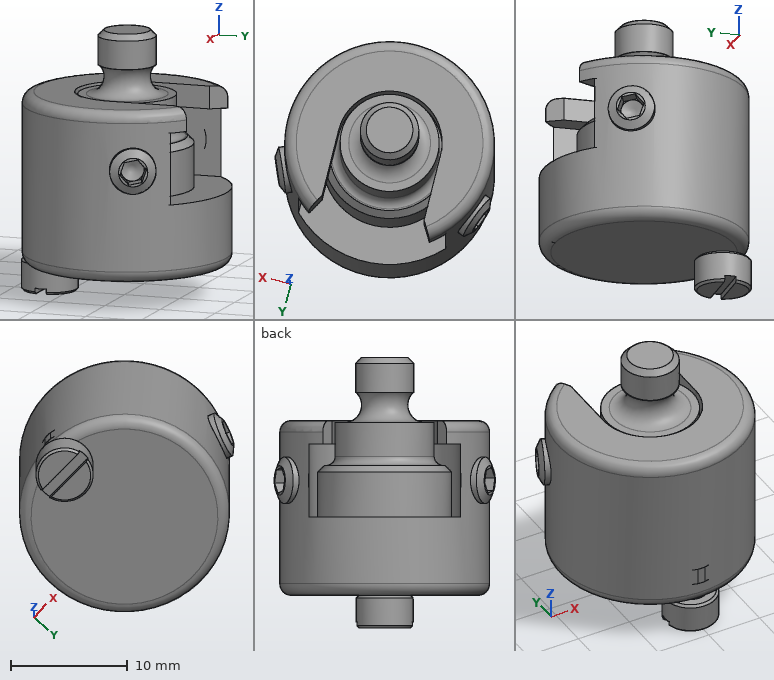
import cadquery as cq
import math

body_diameter = 18.0
body_radius = body_diameter / 2
body_height = 14.99
edge_round = 1.0

chamber_width = 13
chamber_floor = 6.7
lip_thickness = 2.0
lip_underside = body_height - lip_thickness
neck_slot_width = 9.0
flare_start_y = 5.87
flare_angle = 30

stud_top = 20.4
head_diameter = 5.0
head_height = 3.02
head_chamfer = 0.5
waist_diameter = 4.0
waist_fillet = 1.5
collar_diameter = 8.5
collar_top = 14.8
flange_diameter = 11.5
flange_top = 11.14
flange_chamfer = 0.58
collar_fillet = 0.8

set_screw_diameter = 4.0
set_screw_angle = 22.5
set_screw_z = 9.85
set_screw_inner_end = 7.89
set_screw_rim = 9.33
set_screw_tip = 9.75
tip_diameter = 2.5
hex_sides = 6
hex_across_corners = 2.32
hex_depth = 1.28
hex_point_depth = 0.45
hex_turn = 11

lock_y = -7.03
lock_head_diameter = 4.9
lock_head_height = 2.8
lock_head_chamfer = 0.2
driver_slot_width = 1.0
driver_slot_depth = 0.5
lock_shank_diameter = 3.0
lock_hole_diameter = 3.25
lock_collar_diameter = 4.0
lock_collar_bottom = 1.97
lock_collar_top = 3.5


def cylinder(diameter, bottom, top, y=0):
    """Upright cylinder between two heights, with its axis at x = 0."""
    return cq.Workplane("XY", origin=(0, y, bottom)).circle(diameter / 2).extrude(top - bottom)


def round_ended_slot(width, bottom, top):
    """Slot with a half-round end about the Z axis, running out toward +Y."""
    straight = cq.Workplane("XY", origin=(0, 0, bottom)).rect(width, body_diameter)
    straight = straight.extrude(top - bottom).translate((0, body_radius, 0))
    return cylinder(width, bottom, top).union(straight)


def flared_mouth():
    """Widening wedge at the open end of the neck slot."""
    half_width = neck_slot_width / 2
    spread = (body_radius - flare_start_y) * math.tan(math.radians(flare_angle))
    return (
        cq.Workplane("XY", origin=(0, 0, lip_underside))
        .moveTo(-half_width, flare_start_y)
        .lineTo(half_width, flare_start_y)
        .lineTo(half_width + spread, body_radius)
        .lineTo(-half_width - spread, body_radius)
        .close()
        .extrude(lip_thickness)
    )


def place_set_screw(shape, side):
    """Move a shape built along +X from the origin onto a set screw axis; side is 1 or -1."""
    turn = set_screw_angle if side > 0 else 180 - set_screw_angle
    return shape.rotate((0, 0, 0), (0, 0, 1), turn).translate((0, 0, set_screw_z))


def set_screw_hole():
    length = body_diameter - set_screw_inner_end
    return (
        cq.Workplane("YZ", origin=(set_screw_inner_end, 0, 0))
        .circle(set_screw_diameter / 2)
        .extrude(length)
    )


def make_housing():
    housing = cylinder(body_diameter, 0, body_height).edges("%CIRCLE").fillet(edge_round)
    housing = housing.cut(round_ended_slot(chamber_width, chamber_floor, lip_underside))
    housing = housing.cut(round_ended_slot(neck_slot_width, lip_underside, body_height))
    housing = housing.cut(flared_mouth())
    for side in (1, -1):
        housing = housing.cut(place_set_screw(set_screw_hole(), side))
    housing = housing.cut(cylinder(lock_hole_diameter, 0, lock_collar_bottom, lock_y))
    return housing.cut(
        cylinder(lock_collar_diameter, lock_collar_bottom, lock_collar_top, lock_y)
    )


def make_stud():
    """Half profile in the XZ plane, turned about the Z axis."""
    diagonal = math.sqrt(0.5)
    head_radius = head_diameter / 2
    waist_radius = waist_diameter / 2
    collar_radius = collar_diameter / 2
    flange_radius = flange_diameter / 2
    waist_center_r = waist_radius + waist_fillet
    waist_center_z = collar_top + waist_fillet
    head_bottom = stud_top - head_height
    neck_rise = head_bottom - waist_center_z
    neck_top_radius = waist_center_r - math.sqrt(waist_fillet**2 - neck_rise**2)
    fillet_center_r = collar_radius + collar_fillet
    fillet_center_z = flange_top + collar_fillet
    return (
        cq.Workplane("XZ")
        .moveTo(0, chamber_floor)
        .lineTo(flange_radius, chamber_floor)
        .lineTo(flange_radius, flange_top - flange_chamfer)
        .lineTo(flange_radius - flange_chamfer, flange_top)
        .lineTo(fillet_center_r, flange_top)
        .threePointArc(
            (fillet_center_r - collar_fillet * diagonal, fillet_center_z - collar_fillet * diagonal),
            (collar_radius, fillet_center_z),
        )
        .lineTo(collar_radius, collar_top)
        .lineTo(waist_center_r, collar_top)
        .threePointArc((waist_radius, waist_center_z), (neck_top_radius, head_bottom))
        .lineTo(head_radius, head_bottom)
        .lineTo(head_radius, stud_top - head_chamfer)
        .lineTo(head_radius - head_chamfer, stud_top)
        .lineTo(0, stud_top)
        .close()
        .revolve(360, (0, 0, 0), (0, 1, 0))
    )


def make_set_screw(side):
    """Cone-tipped screw along +X with a hex socket in its tip, moved to its place."""
    rim_radius = set_screw_diameter / 2
    tip_radius = tip_diameter / 2
    screw = (
        cq.Workplane("XY")
        .moveTo(set_screw_inner_end, 0)
        .lineTo(set_screw_inner_end, rim_radius)
        .lineTo(set_screw_rim, rim_radius)
        .lineTo(set_screw_tip, tip_radius)
        .lineTo(set_screw_tip, 0)
        .close()
        .revolve(360, (0, 0, 0), (1, 0, 0))
    )
    socket = (
        cq.Workplane("YZ", origin=(set_screw_tip - hex_depth, 0, 0))
        .polygon(hex_sides, hex_across_corners)
        .extrude(hex_depth)
        .rotate((0, 0, 0), (1, 0, 0), hex_turn)
    )
    socket_bottom = set_screw_tip - hex_depth
    point_radius = hex_across_corners / 2 * math.cos(math.pi / hex_sides)
    socket_point = (
        cq.Workplane("XY")
        .moveTo(socket_bottom - hex_point_depth, 0)
        .lineTo(socket_bottom, point_radius)
        .lineTo(socket_bottom, 0)
        .close()
        .revolve(360, (0, 0, 0), (1, 0, 0))
    )
    return place_set_screw(screw.cut(socket).cut(socket_point), side)


def make_lock_screw():
    screw = cylinder(lock_head_diameter, -lock_head_height, 0, lock_y)
    screw = screw.edges("%CIRCLE").chamfer(lock_head_chamfer)
    driver_slot = (
        cq.Workplane("XY", origin=(0, lock_y, -lock_head_height))
        .rect(lock_head_diameter, driver_slot_width)
        .extrude(driver_slot_depth)
    )
    screw = screw.cut(driver_slot)
    screw = screw.union(cylinder(lock_shank_diameter, 0, lock_collar_bottom, lock_y))
    return screw.union(
        cylinder(lock_collar_diameter, lock_collar_bottom, lock_collar_top, lock_y)
    )


housing = make_housing()
stud = make_stud()
set_screws = [make_set_screw(side) for side in (1, -1)]
lock_screw = make_lock_screw()

result = cq.Compound.makeCompound(
    [housing.val(), stud.val(), *[screw.val() for screw in set_screws], lock_screw.val()]
)